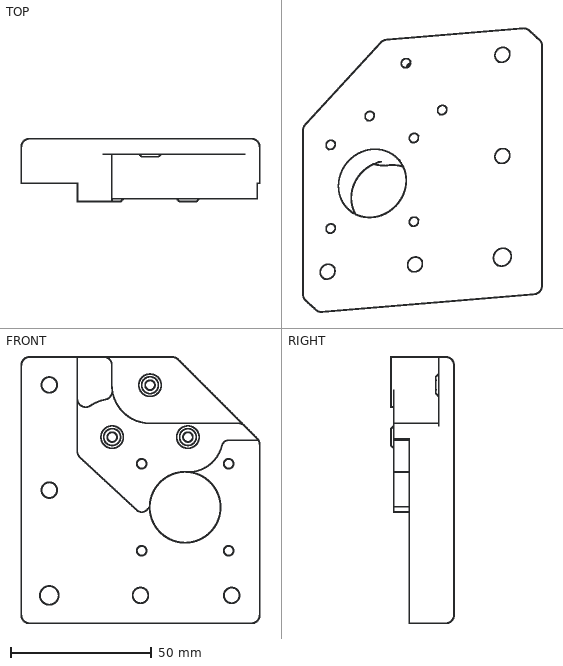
import cadquery as cq
import math

width = 85.0
height = 95.0
plate_thickness = 16.0
corner_cut = 30.0
edge_radius = 3.0

pad_depth = 21.5
seat_height = 1.0
tab_depth = pad_depth + seat_height
pad_left = 20.0
pad_shoulder_z = 60.0
pad_tip = (43.0, 38.7)
pad_corner_radius = 2.5
pad_right_z = 65.3

seat_base_diameter = 8.0
seat_top_diameter = 6.0
seat_hole_diameter = 3.4
upper_seat = (45.9, 84.9)
left_seat = (32.4, 66.4)
right_seat = (59.4, 66.4)
pad_radius_around_seat = 12.5
clearance_radius = 13.6

pocket_floor_depth = 5.5

motor_center = (58.4, 41.4)
bore_diameter = 25.2
motor_screw_spacing = 31.0
motor_screw_diameter = 3.4

mount_inset = 10.0
mount_diameter = 5.5
corner_mount_diameter = 6.6
mount_points = [
    (mount_inset, height - mount_inset),
    (mount_inset, height / 2),
    (width / 2, mount_inset),
    (width - mount_inset, mount_inset),
]


def layer(start_depth):
    """Sketch plane at a depth from the back face; extrusions go toward the front."""
    return cq.Workplane("XZ", origin=(0, -start_depth, 0))


def prism(points, start_depth, end_depth):
    return layer(start_depth).polyline(points).close().extrude(end_depth - start_depth)


def cylinder(center, radius, start_depth, end_depth):
    return layer(start_depth).center(*center).circle(radius).extrude(end_depth - start_depth)


def round_wall_corner(body, point, depth, radius):
    """Round the front-to-back edge that passes closest to an (X, Z) point at a depth."""
    near = cq.selectors.NearestToPointSelector((point[0], -depth, point[1]))
    return body.edges("|Y").edges(near).fillet(radius)


def make_plate():
    outline = [
        (0, 0),
        (width, 0),
        (width, height - corner_cut),
        (width - corner_cut, height),
        (0, height),
    ]
    plate = prism(outline, 0, plate_thickness)
    return plate.edges("|Y").fillet(edge_radius).faces(">Y").edges().fillet(edge_radius)


def make_pad():
    mid_depth = (plate_thickness + pad_depth) / 2
    arm_end = width - edge_radius * (1 - math.cos(math.pi / 4))
    cut_sum = width + height - corner_cut
    tip_rise = motor_center[0] - pad_tip[0]
    outline = [
        (pad_left, height),
        (width - corner_cut, height),
        (arm_end, cut_sum - arm_end),
        (arm_end, pad_right_z),
        (right_seat[0], pad_right_z),
        (motor_center[0], pad_tip[1] + tip_rise),
        pad_tip,
        (pad_left, pad_shoulder_z),
    ]
    pad = prism(outline, plate_thickness, pad_depth)
    pad = round_wall_corner(pad, pad_tip, mid_depth, pad_corner_radius)
    pad = round_wall_corner(pad, (pad_left, pad_shoulder_z), mid_depth, edge_radius)
    pad = pad.union(cylinder(right_seat, pad_radius_around_seat, plate_thickness, pad_depth))
    drop = right_seat[1] - pad_right_z
    arm_root_x = right_seat[0] + math.sqrt(pad_radius_around_seat**2 - drop**2)
    return round_wall_corner(pad, (arm_root_x, pad_right_z), mid_depth, pad_corner_radius)


def make_pocket():
    left = upper_seat[0] - clearance_radius
    bottom = upper_seat[1] - clearance_radius
    cut_x = width + height - corner_cut - bottom
    corner_turn = math.pi / 4
    setback = edge_radius * math.tan(corner_turn / 2)
    diagonal = setback * math.cos(corner_turn)
    half_turn = math.sqrt(0.5)
    return (
        layer(pocket_floor_depth)
        .moveTo(left - edge_radius, height)
        .threePointArc(
            (left - edge_radius * (1 - half_turn), height - edge_radius * (1 - half_turn)),
            (left, height - edge_radius),
        )
        .lineTo(left, upper_seat[1])
        .threePointArc(
            (upper_seat[0] - clearance_radius * half_turn, upper_seat[1] - clearance_radius * half_turn),
            (upper_seat[0], bottom),
        )
        .lineTo(cut_x - setback, bottom)
        .tangentArcPoint((cut_x + diagonal, bottom - diagonal), relative=False)
        .lineTo(width, bottom)
        .lineTo(width, height)
        .close()
        .extrude(tab_depth - pocket_floor_depth)
    )


def make_tab(pocket):
    mid_depth = (pad_depth + tab_depth) / 2
    blank = prism(
        [
            (pad_left, left_seat[1]),
            (upper_seat[0], left_seat[1]),
            (upper_seat[0], height),
            (pad_left, height),
        ],
        pad_depth,
        tab_depth,
    )
    tab = blank.cut(pocket).cut(cylinder(left_seat, clearance_radius, pad_depth, tab_depth))
    tab = tab.solids(">Z")
    left_run = left_seat[0] - pad_left
    left_corner_z = left_seat[1] + math.sqrt(clearance_radius**2 - left_run**2)
    tab = round_wall_corner(tab, (pad_left, left_corner_z), mid_depth, edge_radius)
    dx = upper_seat[0] - left_seat[0]
    dz = upper_seat[1] - left_seat[1]
    gap = math.hypot(dx, dz)
    offset = math.sqrt(clearance_radius**2 - (gap / 2) ** 2)
    crossing = (
        (left_seat[0] + upper_seat[0]) / 2 - offset * dz / gap,
        (left_seat[1] + upper_seat[1]) / 2 + offset * dx / gap,
    )
    return round_wall_corner(tab, crossing, mid_depth, edge_radius)


def make_seat(center, floor_depth):
    return (
        layer(floor_depth)
        .center(*center)
        .circle(seat_base_diameter / 2)
        .workplane(offset=seat_height)
        .circle(seat_top_diameter / 2)
        .loft(ruled=True)
    )


def drill(body, points, diameter):
    holes = layer(0).pushPoints(points).circle(diameter / 2).extrude(tab_depth)
    return body.cut(holes)


pocket = make_pocket()
result = make_plate().union(make_pad()).cut(pocket).union(make_tab(pocket))

result = result.union(make_seat(upper_seat, pocket_floor_depth))
for seat_center in (left_seat, right_seat):
    result = result.union(make_seat(seat_center, pad_depth))

half_spacing = motor_screw_spacing / 2
motor_screws = [
    (motor_center[0] + side * half_spacing, motor_center[1] + level * half_spacing)
    for side in (-1, 1)
    for level in (-1, 1)
]
result = drill(result, [upper_seat, left_seat, right_seat], seat_hole_diameter)
result = drill(result, motor_screws, motor_screw_diameter)
result = drill(result, [motor_center], bore_diameter)
result = drill(result, mount_points, mount_diameter)
result = drill(result, [(mount_inset, mount_inset)], corner_mount_diameter)